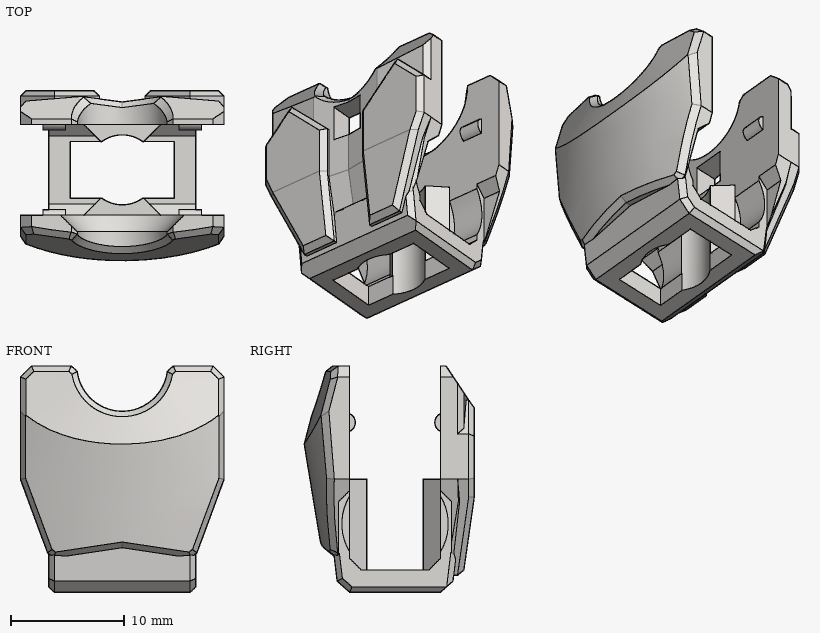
import cadquery as cq
import math

HEIGHT = 20.0
HALF_WIDTH = 9.0
HALF_GAP = 4.0
BEVEL = 0.5

TOP_CORNER = 1.0
NECK_R = 4.0
TAPER_Z = 10.0
TAPER_END_X, TAPER_END_Z = 6.6, 3.5
FOOT_X, FOOT_Z = 6.0, 3.05
FOOT_PEAK_Z = 3.95
FUNNEL_DEPTH = 1.45

EDGE_X = 8.5
LOWER_FACE = [(3.0, 6.35, 4.8), (10.0, 7.52, 6.0), (16.0, 8.49, 6.47), (22.0, 9.4, 7.1)]
UPPER_TOP_CENTRE, UPPER_TOP_EDGE = 6.23, 5.41
UPPER_SLOPE = 0.26
UPPER_FACE = [
    (0, UPPER_TOP_CENTRE + UPPER_SLOPE * HEIGHT, UPPER_TOP_EDGE + UPPER_SLOPE * HEIGHT),
    (HEIGHT, UPPER_TOP_CENTRE, UPPER_TOP_EDGE),
]

BACK_CENTRE_Y = 6.0
BACK_RIDGE_X, BACK_RIDGE_Y = 3.6, 6.48
BACK_EDGE_Y = 6.03
BACK_TILT_Z = 8.0
BACK_TILT = 0.2
SLANT_TOP_Y, SLANT_RUN, SLANT_DROP = 4.5, 2.0, 3.0
WINDOW_HALF_WIDTH, WINDOW_BOTTOM, WINDOW_TOP = 1.5, 11.75, 15.25

SHIELD_Y = 7.0
SHIELD_TOP, SHIELD_BOTTOM = 17.0, 1.5
SHIELD_INNER_X = 2.0
SHIELD_INNER_TOP = 13.0
SHIELD_CORNER = 3.0
SHIELD_FOOT_X = 5.4
SHIELD_TILT_Z = 8.4
SHIELD_TILT = 0.143

BASE_HALF_WIDTH = 6.5
BASE_TOP = 4.5
BASE_FOOT_Y, BASE_FOOT_Z = 5.12, 1.0
WALL_SLOPE = 0.12
FLOOR_Z = 2.0
FLOOR_CORNER = 1.0
FLOOR_WINDOW_LENGTH, FLOOR_WINDOW_WIDTH = 9.14, 5.0
RELIEF_Y, RELIEF_TOP = 5.0, 9.0
CROSS_BORE_R, CROSS_BORE_Z = 4.7, 6.05

RIB_TIP_X, RIB_TIP_Y = 1.87, 2.48
RIB_ROOT_X = RIB_TIP_X + HALF_GAP - RIB_TIP_Y
RIB_TOP = 10.0
RIB_BORE_R = 3.08

PIN_R, PIN_Z, PIN_HEIGHT = 0.85, 15.0, 0.5
PIN_START_X, PIN_LENGTH = 5.0, 2.0

REACH = 12.0


def block(x0, x1, y0, y1, z0, z1):
    return cq.Workplane("XY").box(x1 - x0, y1 - y0, z1 - z0, centered=False).translate((x0, y0, z0))


def yz_prism(points, half_width):
    return cq.Workplane("YZ").polyline(points).close().extrude(half_width, both=True)


def xz_prism(sketch, y0, y1):
    return sketch.extrude(y0 - y1).translate((0, y0, 0))


def plate_blank(y0, y1):
    """Plate outline with the round neck cut into its top edge."""
    neck_z = HEIGHT - BEVEL
    neck_x = math.sqrt(NECK_R**2 - BEVEL**2)
    sketch = (
        cq.Workplane("XZ")
        .moveTo(neck_x, neck_z)
        .lineTo(NECK_R + BEVEL, HEIGHT)
        .lineTo(HALF_WIDTH - TOP_CORNER, HEIGHT)
        .lineTo(HALF_WIDTH, HEIGHT - TOP_CORNER)
        .lineTo(HALF_WIDTH, TAPER_Z)
        .lineTo(TAPER_END_X, TAPER_END_Z)
        .lineTo(FOOT_X, FOOT_Z)
        .lineTo(0, FOOT_PEAK_Z)
        .lineTo(-FOOT_X, FOOT_Z)
        .lineTo(-TAPER_END_X, TAPER_END_Z)
        .lineTo(-HALF_WIDTH, TAPER_Z)
        .lineTo(-HALF_WIDTH, HEIGHT - TOP_CORNER)
        .lineTo(-HALF_WIDTH + TOP_CORNER, HEIGHT)
        .lineTo(-NECK_R - BEVEL, HEIGHT)
        .lineTo(-neck_x, neck_z)
        .threePointArc((0, HEIGHT - NECK_R), (neck_x, neck_z))
        .close()
    )
    return xz_prism(sketch, y0, y1)


def crowned_body(sections):
    """Loft through sections whose -Y side is a shallow arc."""
    sagitta_scale = (REACH / EDGE_X) ** 2
    wires = []
    for z, centre, edge in sections:
        side = centre - (centre - edge) * sagitta_scale
        wires.append(
            cq.Workplane("XY", origin=(0, 0, z))
            .moveTo(-REACH, REACH)
            .lineTo(-REACH, -side)
            .threePointArc((0, -centre), (REACH, -side))
            .lineTo(REACH, REACH)
            .close()
            .val()
        )
    return cq.Workplane(cq.Solid.makeLoft(wires, len(wires) == 2))


def edges_off_gap(body):
    """Edges that lie on the outer face, away from the gap and not across the thickness."""
    edges = body.edges("not |Y").vals()
    return [edge for edge in edges if abs(edge.Center().y) > HALF_GAP + BEVEL / 2]


def front_plate():
    """Crowned plate whose two outer faces meet in a crease, bevelled all round."""
    body = plate_blank(-REACH, -HALF_GAP)
    body = body.intersect(crowned_body(LOWER_FACE)).intersect(crowned_body(UPPER_FACE))
    rim = sorted(edges_off_gap(body), key=lambda edge: edge.Length())[:-1]
    body = body.newObject(rim).chamfer(BEVEL)
    funnel = cq.Workplane(
        cq.Solid.makeCone(
            NECK_R + FUNNEL_DEPTH,
            NECK_R,
            FUNNEL_DEPTH,
            cq.Vector(0, -HALF_GAP, HEIGHT),
            cq.Vector(0, -1, 0),
        )
    )
    return body.cut(funnel)


def ridged_body(bottom_shift, top_shift):
    """Body with a shallow W across its +Y side, shifted in Y from bottom to top."""
    drop = (BACK_RIDGE_Y - BACK_EDGE_Y) / (HALF_WIDTH - BACK_RIDGE_X)
    outer_y = BACK_EDGE_Y - drop * (REACH - HALF_WIDTH)
    points = [
        (-REACH, -REACH),
        (-REACH, outer_y),
        (-BACK_RIDGE_X, BACK_RIDGE_Y),
        (0, BACK_CENTRE_Y),
        (BACK_RIDGE_X, BACK_RIDGE_Y),
        (REACH, outer_y),
        (REACH, -REACH),
    ]
    wires = []
    for z, shift in [(0, bottom_shift), (HEIGHT, top_shift)]:
        section = cq.Workplane("XY", origin=(0, shift, z)).polyline(points).close()
        wires.append(section.val())
    return cq.Workplane(cq.Solid.makeLoft(wires, True))


def back_plate():
    """Plate with a shallow W across its back, leaning in near the foot and cut at a slant on top."""
    body = plate_blank(HALF_GAP, REACH).intersect(ridged_body(0, 0))
    lean = ridged_body(-BACK_TILT * BACK_TILT_Z, BACK_TILT * (HEIGHT - BACK_TILT_Z))
    body = body.intersect(lean)
    sides = [edge for edge in edges_off_gap(body) if abs(edge.Center().x) > TAPER_END_X]
    sides = [edge for edge in sides if edge.Center().z < HEIGHT - TOP_CORNER]
    body = body.newObject(sides).chamfer(BEVEL)
    slope = SLANT_RUN / SLANT_DROP
    slant = yz_prism(
        [
            (-REACH, 0),
            (SLANT_TOP_Y + HEIGHT * slope, 0),
            (SLANT_TOP_Y, HEIGHT),
            (-REACH, HEIGHT),
        ],
        REACH,
    )
    body = body.intersect(slant)
    neck = [edge for edge in edges_off_gap(body) if edge.geomType() == "ELLIPSE"]
    return body.newObject(neck).chamfer(BEVEL)


def shield_wing():
    """Thicker wing on the +X half of the back plate, bevelled around its back face."""
    outline = [
        (SHIELD_INNER_X, SHIELD_BOTTOM),
        (SHIELD_INNER_X, SHIELD_INNER_TOP),
        (HALF_WIDTH - SHIELD_CORNER, SHIELD_TOP),
        (HALF_WIDTH, SHIELD_TOP - SHIELD_CORNER),
        (HALF_WIDTH, TAPER_Z),
        (SHIELD_FOOT_X, SHIELD_BOTTOM),
    ]
    body = xz_prism(cq.Workplane("XZ").polyline(outline).close(), HALF_GAP, SHIELD_Y)
    lean = yz_prism(
        [
            (-REACH, 0),
            (SHIELD_Y - SHIELD_TILT * SHIELD_TILT_Z, 0),
            (SHIELD_Y, SHIELD_TILT_Z),
            (SHIELD_Y, HEIGHT),
            (-REACH, HEIGHT),
        ],
        REACH,
    )
    body = body.intersect(lean)
    rim = [edge for edge in edges_off_gap(body) if abs(edge.Center().z - SHIELD_TILT_Z) > BEVEL / 2]
    return body.newObject(rim).chamfer(BEVEL)


def window():
    return block(-WINDOW_HALF_WIDTH, WINDOW_HALF_WIDTH, 0, REACH, WINDOW_BOTTOM, WINDOW_TOP)


def side_relief():
    """Undercut of both plates outside the width of the base."""
    corner = RELIEF_Y - HALF_GAP
    profile = [
        (-RELIEF_Y, 0),
        (RELIEF_Y, 0),
        (RELIEF_Y, RELIEF_TOP - corner),
        (HALF_GAP, RELIEF_TOP),
        (-HALF_GAP, RELIEF_TOP),
        (-RELIEF_Y, RELIEF_TOP - corner),
    ]
    middle = block(-BASE_HALF_WIDTH, BASE_HALF_WIDTH, -REACH, REACH, 0, HEIGHT)
    return yz_prism(profile, REACH).cut(middle)


def base():
    """U-shaped channel along X with leaning walls and a window in its floor."""
    top_y = BASE_FOOT_Y + WALL_SLOPE * (BASE_TOP - BASE_FOOT_Z)
    profile = [
        (-HALF_GAP, 0),
        (BASE_FOOT_Y - WALL_SLOPE * BASE_FOOT_Z, 0),
        (top_y, BASE_TOP),
        (-top_y, BASE_TOP),
        (-BASE_FOOT_Y, BASE_FOOT_Z),
    ]
    body = yz_prism(profile, BASE_HALF_WIDTH)
    body = body.faces("|X").edges("not >Z").chamfer(BEVEL)
    back_corner = yz_prism(
        [(HALF_GAP, 0), (BASE_FOOT_Y, BASE_FOOT_Z), (REACH, BASE_FOOT_Z), (REACH, 0)],
        REACH,
    )
    channel_floor_y = HALF_GAP - FLOOR_CORNER
    channel = [
        (-channel_floor_y, FLOOR_Z),
        (channel_floor_y, FLOOR_Z),
        (HALF_GAP, FLOOR_Z + FLOOR_CORNER),
        (HALF_GAP, HEIGHT),
        (-HALF_GAP, HEIGHT),
        (-HALF_GAP, FLOOR_Z + FLOOR_CORNER),
    ]
    floor_window = cq.Workplane("XY").rect(FLOOR_WINDOW_LENGTH, FLOOR_WINDOW_WIDTH).extrude(FLOOR_Z)
    return body.cut(back_corner).cut(yz_prism(channel, REACH)).cut(floor_window)


def cross_bore():
    """Round bore along X that hollows the walls on either end of the ribs."""
    bore = cq.Workplane("YZ").center(0, CROSS_BORE_Z).circle(CROSS_BORE_R).extrude(REACH, both=True)
    bore = bore.cut(block(-REACH, REACH, -HALF_GAP, HALF_GAP, 0, HEIGHT))
    return bore.cut(block(-RIB_ROOT_X, RIB_ROOT_X, -REACH, REACH, 0, HEIGHT))


def rib(side):
    """Upright rib at the middle of one wall; side is +1 for the back wall, -1 for the front."""
    points = [
        (-RIB_TIP_X, side * RIB_TIP_Y),
        (RIB_TIP_X, side * RIB_TIP_Y),
        (RIB_ROOT_X, side * HALF_GAP),
        (-RIB_ROOT_X, side * HALF_GAP),
    ]
    return cq.Workplane("XY", origin=(0, 0, FLOOR_Z)).polyline(points).close().extrude(RIB_TOP - FLOOR_Z)


def rib_bore():
    """Upright bore that hollows the rib tips and the edges of the floor window."""
    return cq.Workplane("XY").circle(RIB_BORE_R).extrude(RIB_TOP)


def pin(x_start, side):
    """Pin along X, partly sunk into the inner face of a plate."""
    axis_y = side * (HALF_GAP + PIN_R - PIN_HEIGHT)
    return cq.Workplane("YZ", origin=(x_start, axis_y, PIN_Z)).circle(PIN_R).extrude(PIN_LENGTH)


wing = shield_wing()
result = front_plate().union(back_plate().cut(window()))
result = result.union(wing).union(wing.mirror("YZ"))
result = result.cut(side_relief()).union(base()).cut(cross_bore())
for side in (-1, 1):
    result = result.union(rib(side))
    for x_start in (PIN_START_X, -PIN_START_X - PIN_LENGTH):
        result = result.union(pin(x_start, side))
result = result.cut(rib_bore())